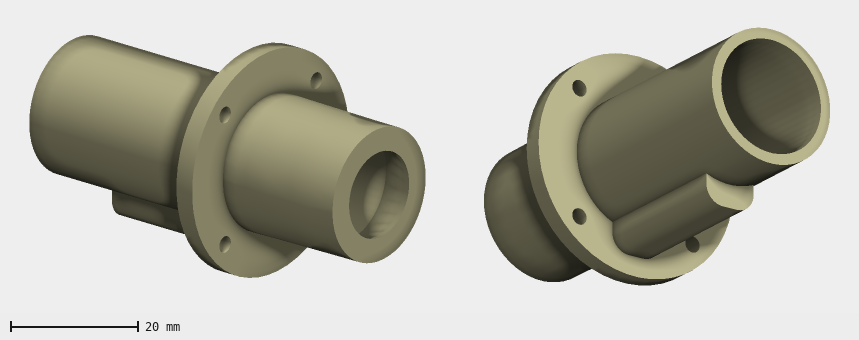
import cadquery as cq

length = 63.5
tube_radius = 11.3
spigot_end_radius = 11.05

flange_start = 37.4
flange_thickness = 3.3
flange_end = flange_start + flange_thickness
flange_radius = 18.6
hole_offset = 10.8
hole_diameter = 2.7

bore_mouth_radius = 9.5
bore_end_radius = 7.1
bore_cone_length = 7.0

rib_start = 11.35
rib_width = 9.0
rib_depth = 15.25
rib_corner_radius = 3.2


def make_body():
    """Straight tube, flange and tapered spigot, revolved about X."""
    profile = [
        (0, 0),
        (0, tube_radius),
        (flange_start, tube_radius),
        (flange_start, flange_radius),
        (flange_end, flange_radius),
        (flange_end, tube_radius),
        (length, spigot_end_radius),
        (length, 0),
    ]
    return cq.Workplane("XY").polyline(profile).close().revolve(360, (0, 0, 0), (1, 0, 0))


def make_rib():
    """Rib with rounded lower edges, running from its free end to the flange."""
    rib_length = flange_start - rib_start
    return (
        cq.Workplane("XY")
        .box(rib_length, rib_width, rib_depth, centered=(False, True, False))
        .translate((rib_start, 0, -rib_depth))
        .edges("|X and <Z")
        .fillet(rib_corner_radius)
    )


def make_bore():
    """Through bore: a cylinder followed by a narrowing cone."""
    profile = [
        (0, 0),
        (0, bore_mouth_radius),
        (length - bore_cone_length, bore_mouth_radius),
        (length, bore_end_radius),
        (length, 0),
    ]
    return cq.Workplane("XY").polyline(profile).close().revolve(360, (0, 0, 0), (1, 0, 0))


def make_flange_holes():
    """Four screw holes on a square pattern through the flange."""
    return (
        cq.Workplane("YZ", origin=(flange_start, 0, 0))
        .rect(2 * hole_offset, 2 * hole_offset, forConstruction=True)
        .vertices()
        .circle(hole_diameter / 2)
        .extrude(flange_thickness)
    )


result = make_body().union(make_rib()).cut(make_bore()).cut(make_flange_holes())